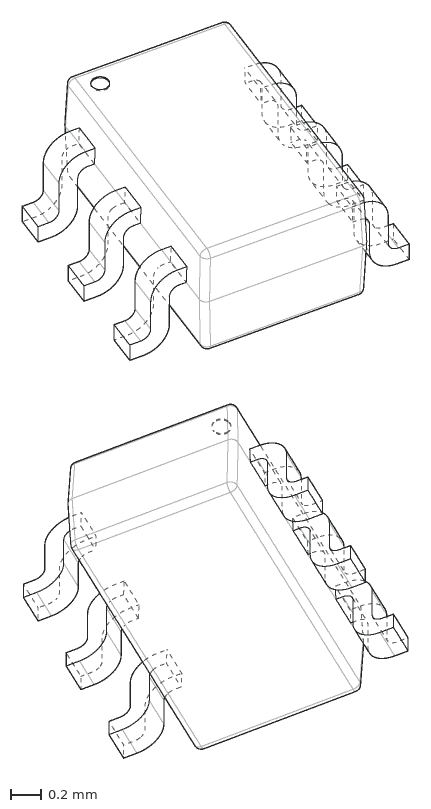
import cadquery as cq
import math

body_length = 2.0
body_width = 1.252
body_bottom = 0.05
body_top = 0.95
parting_height = 0.525
draft_angle = 2.0
edge_radius = 0.05

mark_radius = 0.063
mark_depth = 0.01
mark_x = -0.815
mark_y = -0.437

lead_span = 2.1
lead_width = 0.225
lead_thickness = 0.14
lead_pitch = 0.65
leads_per_side = 3
inner_bend_radius = 0.075
outer_bend_radius = 0.2
shank_to_tip = 0.158
lead_embed = 0.105


def make_half(height):
    """Half of the body, tapering from the parting plane by a signed height."""
    inset = abs(height) * math.tan(math.radians(draft_angle))
    return (
        cq.Workplane("XY", origin=(0, 0, parting_height))
        .rect(body_length, body_width)
        .workplane(offset=height)
        .rect(body_length - 2 * inset, body_width - 2 * inset)
        .loft(ruled=True)
    )


def make_body():
    """Both halves joined, with every edge rounded except those in the parting plane."""
    upper = make_half(body_top - parting_height)
    lower = make_half(body_bottom - parting_height)
    body = upper.union(lower)
    rounded_edges = body.edges().filter(
        lambda edge: edge.BoundingBox().zlen > edge_radius
        or abs(edge.Center().z - parting_height) > edge_radius
    )
    return rounded_edges.fillet(edge_radius)


def make_lead(x_center):
    """Lead on the +Y side: out of the body, down the shank and out along the foot."""
    tip = lead_span / 2
    root = body_width / 2 - lead_embed
    shank_outer = tip - shank_to_tip
    shank_inner = shank_outer - lead_thickness
    shoulder_bottom = parting_height
    shoulder_top = shoulder_bottom + lead_thickness

    return (
        cq.Workplane("YZ", origin=(x_center, 0, 0))
        .moveTo(root, shoulder_top)
        .lineTo(shank_outer - outer_bend_radius, shoulder_top)
        .radiusArc((shank_outer, shoulder_top - outer_bend_radius), outer_bend_radius)
        .lineTo(shank_outer, lead_thickness + inner_bend_radius)
        .radiusArc((shank_outer + inner_bend_radius, lead_thickness), -inner_bend_radius)
        .lineTo(tip, lead_thickness)
        .lineTo(tip, 0)
        .lineTo(shank_inner + outer_bend_radius, 0)
        .radiusArc((shank_inner, outer_bend_radius), outer_bend_radius)
        .lineTo(shank_inner, shoulder_bottom - inner_bend_radius)
        .radiusArc((shank_inner - inner_bend_radius, shoulder_bottom), -inner_bend_radius)
        .lineTo(root, shoulder_bottom)
        .close()
        .extrude(lead_width / 2, both=True)
    )


def make_mark():
    return (
        cq.Workplane("XY", origin=(mark_x, mark_y, body_top - mark_depth))
        .circle(mark_radius)
        .extrude(2 * mark_depth)
    )


result = make_body().cut(make_mark())
for index in range(leads_per_side):
    lead = make_lead((index - (leads_per_side - 1) / 2) * lead_pitch)
    result = result.union(lead).union(lead.mirror("XZ"))